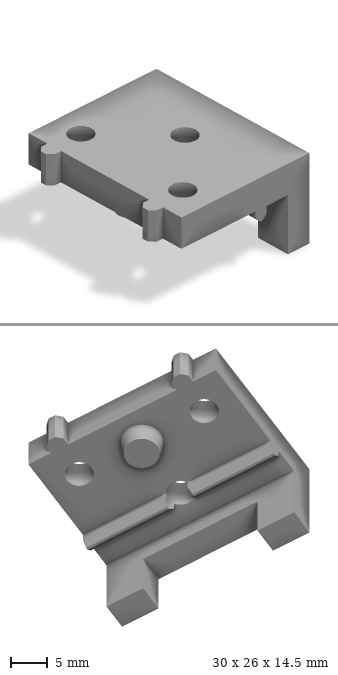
import cadquery as cq

length = 30
depth = 24
thickness = 5.0

total_height = 14.5
wall_thickness = 4.0
leg_width = 5.85
opening_below_top = 7.8

hole_diameter = 4.0
hole_spacing = 20.0
front_row_y = 5.0
rear_hole_y = 15

key_projection = 2.0
key_width = 2.67
rib_width = 2.0
key_chamfer = 0.8

peg_base_diameter = 6
peg_tip_diameter = 4.9
peg_height = 2.5


def key_outline(plane, center, width):
    """Key section projecting towards -Y of the plane, with chamfered corners."""
    half_width = width / 2
    half_tip = half_width - key_chamfer
    shoulder = key_chamfer - key_projection
    x, y = center
    return cq.Workplane(plane).center(x, y).polyline([
        (-half_width, 0),
        (-half_width, shoulder),
        (-half_tip, -key_projection),
        (half_tip, -key_projection),
        (half_width, shoulder),
        (half_width, 0),
    ]).close()


def make_plate():
    return cq.Workplane("XY").box(length, depth, thickness, centered=(True, False, False))


def make_wall():
    bottom = thickness - total_height
    wall = (
        cq.Workplane("XY", origin=(0, depth - wall_thickness, bottom))
        .box(length, wall_thickness, total_height, centered=(True, False, False))
    )
    opening = (
        cq.Workplane("XY", origin=(0, depth - wall_thickness, bottom))
        .box(length - 2 * leg_width, wall_thickness, total_height - opening_below_top,
             centered=(True, False, False))
    )
    return wall.cut(opening)


def make_rib():
    return key_outline("YZ", (rear_hole_y, 0), rib_width).extrude(length / 2, both=True)


def make_peg():
    return (
        cq.Workplane("XY", origin=(0, front_row_y, 0))
        .circle(peg_base_diameter / 2)
        .workplane(offset=-peg_height)
        .circle(peg_tip_diameter / 2)
        .loft()
    )


result = make_plate().union(make_wall()).union(make_rib()).union(make_peg())

for side in (-1, 1):
    key = key_outline("XY", (side * hole_spacing / 2, 0), key_width).extrude(thickness)
    result = result.union(key)

hole_centers = [
    (-hole_spacing / 2, front_row_y),
    (hole_spacing / 2, front_row_y),
    (0, rear_hole_y),
]
holes = (
    cq.Workplane("XY", origin=(0, 0, -key_projection))
    .pushPoints(hole_centers)
    .circle(hole_diameter / 2)
    .extrude(thickness + key_projection)
)
result = result.cut(holes)